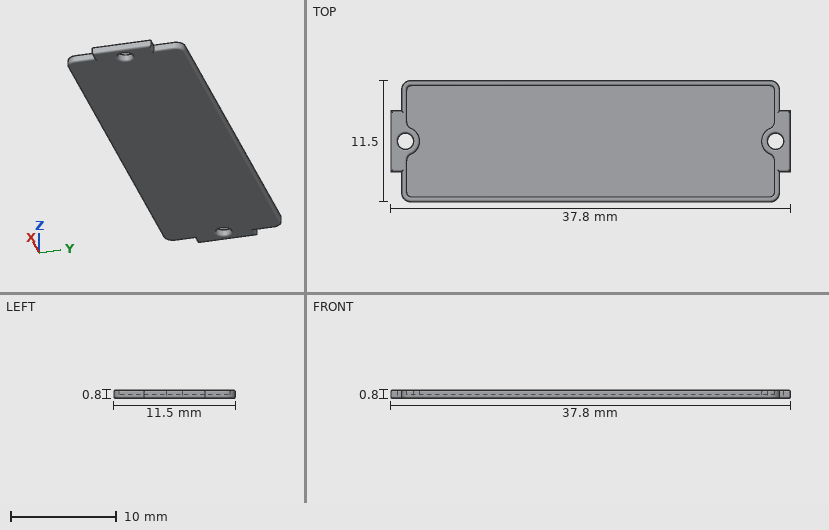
import cadquery as cq

length = 37.8
width = 11.5
thickness = 0.8
corner_radius = 0.9
edge_round = 0.2

tab_reach = 1.02
tab_width = 5.8
body_length = length - 2 * tab_reach

hole_diameter = 1.5
hole_inset = 1.4
hole_x = length / 2 - hole_inset
hole_points = [(-hole_x, 0), (hole_x, 0)]

rim_width = 0.5
pocket_depth = 0.4
pocket_corner_radius = 0.4
collar_radius = 1.32
collar_blend_radius = 0.68


def plate_blank():
    """Rounded body with a tab and a mounting hole at each end."""
    body = (
        cq.Workplane("XY")
        .box(body_length, width, thickness)
        .edges("|Z")
        .fillet(corner_radius)
    )
    tabs = cq.Workplane("XY").box(length, tab_width, thickness)
    holes = (
        cq.Workplane("XY", origin=(0, 0, -thickness / 2))
        .pushPoints(hole_points)
        .circle(hole_diameter / 2)
        .extrude(thickness)
    )
    return body.union(tabs).cut(holes)


def pocket():
    """Recess with rounded corners that curves inward around each hole."""
    floor = cq.Workplane("XY", origin=(0, 0, thickness / 2 - pocket_depth))
    recess = (
        floor.rect(body_length - 2 * rim_width, width - 2 * rim_width)
        .extrude(pocket_depth)
        .edges("|Z")
        .fillet(pocket_corner_radius)
    )
    collars = floor.pushPoints(hole_points).circle(collar_radius).extrude(pocket_depth)
    collar_zone = cq.selectors.BoxSelector(
        (-length, -2 * collar_radius, -thickness),
        (length, 2 * collar_radius, thickness),
    )
    return recess.cut(collars).edges("|Z").edges(collar_zone).fillet(collar_blend_radius)


result = plate_blank().cut(pocket()).faces("<Z or >Z").edges().fillet(edge_round)